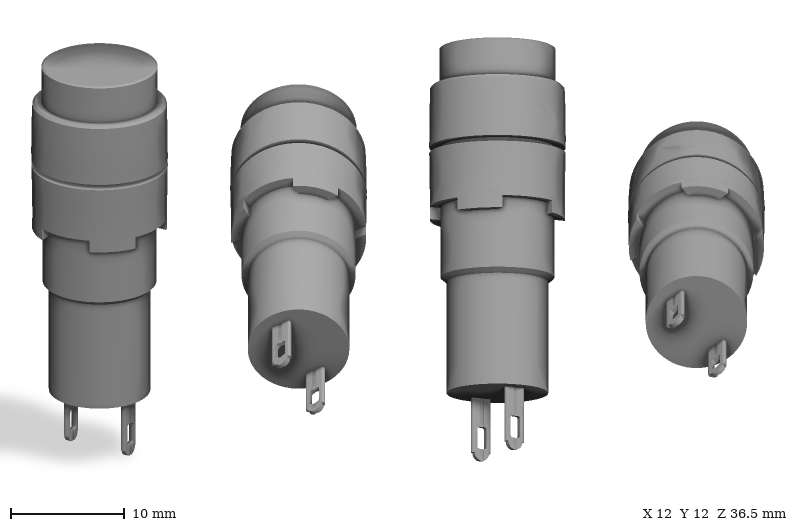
import cadquery as cq

total_height = 36.5
bezel_top = 33.07
bezel_bottom = 27.55
collar_top = 27.05
notch_top = 22.2
collar_bottom = 21.1
barrel_bottom = 15.5
base_bottom = 5.6

button_radius = 5.1
bezel_top_radius = 5.9
outer_radius = 12.0 / 2
collar_bottom_radius = 5.95
barrel_radius = 10.05 / 2
base_radius = 8.95 / 2

button_chamfer = 0.2
button_chamfer_height = 0.1
bezel_chamfer = 0.22
barrel_chamfer_height = 0.45

notch_width = 5.0

terminal_spacing = 6.02
terminal_width = 1.9
terminal_thickness = 0.47
groove_width = 0.35
groove_depth = 0.07
eyelet_width = 0.95
eyelet_bottom = 1.05
eyelet_top = 3.03
eyelet_corner_radius = 0.22


def make_turned_body():
    """Button, bezel, barrel and base as one turned shape."""
    bezel_side_top = bezel_top - bezel_chamfer
    bezel_middle = (bezel_side_top + bezel_bottom) / 2
    return (
        cq.Workplane("XZ")
        .moveTo(0, base_bottom)
        .lineTo(base_radius, base_bottom)
        .lineTo(base_radius, barrel_bottom)
        .lineTo(barrel_radius, barrel_bottom + barrel_chamfer_height)
        .lineTo(barrel_radius, bezel_bottom)
        .lineTo(outer_radius, bezel_bottom)
        .threePointArc((outer_radius, bezel_middle), (bezel_top_radius, bezel_side_top))
        .lineTo(bezel_top_radius - bezel_chamfer, bezel_top)
        .lineTo(button_radius, bezel_top)
        .lineTo(button_radius, total_height - button_chamfer_height)
        .lineTo(button_radius - button_chamfer, total_height)
        .lineTo(0, total_height)
        .close()
        .revolve(360, (0, 0, 0), (0, 1, 0))
    )


def make_collar():
    """Slightly tapered ring with four notches in its lower edge."""
    collar = (
        cq.Workplane("XZ")
        .moveTo(0, collar_bottom)
        .lineTo(collar_bottom_radius, collar_bottom)
        .lineTo(outer_radius, collar_top)
        .lineTo(0, collar_top)
        .close()
        .revolve(360, (0, 0, 0), (0, 1, 0))
    )
    notch_height = notch_top - collar_bottom
    for angle in (0, 90):
        notch = (
            cq.Workplane("XY", origin=(0, 0, collar_bottom))
            .box(2 * outer_radius, notch_width, notch_height, centered=(True, True, False))
            .rotate((0, 0, 0), (0, 0, 1), angle)
        )
        collar = collar.cut(notch)
    return collar


def make_housing():
    return make_turned_body().union(make_collar())


def make_terminal(x_position):
    """Blade with rounded side edges, a half-round tip, an eyelet and a groove down each face."""
    half_width = terminal_width / 2
    blade = (
        cq.Workplane("XY")
        .slot2D(terminal_width, terminal_thickness, 90)
        .extrude(base_bottom)
    )
    tip_radius = half_width - terminal_thickness / 2
    outline = (
        cq.Workplane("YZ")
        .moveTo(-half_width, base_bottom)
        .lineTo(-half_width, tip_radius)
        .lineTo(-tip_radius, tip_radius)
        .threePointArc((0, 0), (tip_radius, tip_radius))
        .lineTo(half_width, tip_radius)
        .lineTo(half_width, base_bottom)
        .close()
        .extrude(terminal_thickness, both=True)
    )
    eyelet_height = eyelet_top - eyelet_bottom
    eyelet = (
        cq.Workplane("XY", origin=(0, 0, eyelet_bottom))
        .box(2 * terminal_thickness, eyelet_width, eyelet_height, centered=(True, True, False))
        .edges("|X")
        .fillet(eyelet_corner_radius)
    )
    blade = blade.intersect(outline).cut(eyelet)
    for side in (-1, 1):
        groove = (
            cq.Workplane("XY", origin=(side * terminal_thickness / 2, 0, 0))
            .box(2 * groove_depth, groove_width, base_bottom, centered=(True, True, False))
        )
        blade = blade.cut(groove)
    return blade.translate((x_position, 0, 0))


housing = make_housing()
terminals = [make_terminal(side * terminal_spacing / 2) for side in (-1, 1)]

result = cq.Compound.makeCompound([housing.val(), *[terminal.val() for terminal in terminals]])